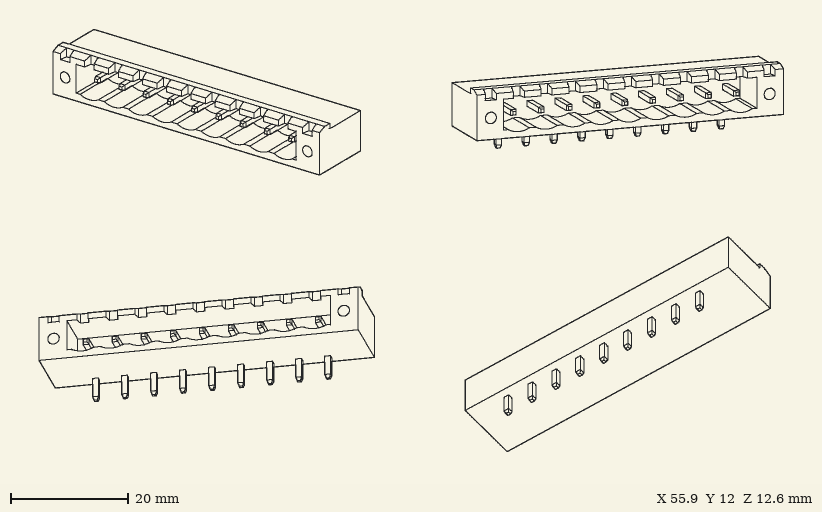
import cadquery as cq

PITCH = 5.08
CONTACT_COUNT = 9
STATION_COUNT = CONTACT_COUNT + 2

LENGTH = STATION_COUNT * PITCH
DEPTH = 12.0
ROOF_Z = 7.6
LIP_TOP_Z = 8.6
LIP_DEPTH = 3.0
LIP_SLOPE_DEPTH = 1.5
LIP_FRONT_Z = 8.0

FLANGE_WIDTH = 4.88
CAVITY_LENGTH = LENGTH - 2 * FLANGE_WIDTH
CAVITY_DEPTH = 8.0
CAVITY_TOP_Z = 6.9
RIDGE_Z = 1.5
TROUGH_Z = 1.0
RIDGE_WIDTH = 1.25
TROUGH_HALF_WIDTH = (PITCH - RIDGE_WIDTH) / 2

NOTCH_DEPTH = LIP_SLOPE_DEPTH
NOTCH_BACK_WIDTH = 1.5
NOTCH_FRONT_WIDTH = 2.0

BUSH_DIAMETER = 4.0
BUSH_HOLE_DIAMETER = 2.0
BUSH_DEPTH = CAVITY_DEPTH
AXIS_Z = 3.8

PIN_WIDTH = 1.0
PIN_TIP_WIDTH = 0.6
PIN_TAPER_LENGTH = 0.6
PIN_BELOW = 4.0
PIN_LEG_Y = 10.0
PIN_FRONT_Y = 2.0


def station_x(index):
    """X of a pitch position; the first and last are the fixing flanges."""
    return (index - (STATION_COUNT - 1) / 2) * PITCH


STATIONS = [station_x(i) for i in range(STATION_COUNT)]
CONTACTS = STATIONS[1:-1]
FLANGES = [STATIONS[0], STATIONS[-1]]


def make_housing():
    """Block with a raised, sloping lip along the top of its front edge."""
    profile = [
        (0, 0),
        (DEPTH, 0),
        (DEPTH, ROOF_Z),
        (LIP_DEPTH, ROOF_Z),
        (LIP_DEPTH, LIP_TOP_Z),
        (LIP_SLOPE_DEPTH, LIP_TOP_Z),
        (0, LIP_FRONT_Z),
    ]
    return cq.Workplane("YZ").polyline(profile).close().extrude(LENGTH / 2, both=True)


def make_cavity():
    """Plug cavity whose floor dips in a shallow arc below every contact."""
    half_length = CAVITY_LENGTH / 2
    outline = cq.Workplane("XZ").moveTo(-half_length, CAVITY_TOP_Z).lineTo(-half_length, RIDGE_Z)
    for x in CONTACTS:
        outline = outline.lineTo(x - TROUGH_HALF_WIDTH, RIDGE_Z)
        outline = outline.threePointArc((x, TROUGH_Z), (x + TROUGH_HALF_WIDTH, RIDGE_Z))
    outline = outline.lineTo(half_length, RIDGE_Z).lineTo(half_length, CAVITY_TOP_Z).close()
    return outline.extrude(-CAVITY_DEPTH)


def make_notch(x):
    """Flared notch cut down through the lip to the level of the cavity roof."""
    plan = [
        (x - NOTCH_FRONT_WIDTH / 2, 0),
        (x + NOTCH_FRONT_WIDTH / 2, 0),
        (x + NOTCH_BACK_WIDTH / 2, NOTCH_DEPTH),
        (x - NOTCH_BACK_WIDTH / 2, NOTCH_DEPTH),
    ]
    base = cq.Workplane("XY").workplane(offset=CAVITY_TOP_Z)
    return base.polyline(plan).close().extrude(LIP_TOP_Z - CAVITY_TOP_Z)


def make_front_cylinder(x, diameter):
    """Cylinder running back from the front face at the height of the bush axis."""
    return cq.Workplane("XZ").center(x, AXIS_Z).circle(diameter / 2).extrude(-BUSH_DEPTH)


def make_bush(x):
    """Tubular bush, flush with the front face."""
    return make_front_cylinder(x, BUSH_DIAMETER).cut(make_front_cylinder(x, BUSH_HOLE_DIAMETER))


def make_square_bar(plane, length):
    """Square bar along the plane normal, ending in a tapered tip."""
    shank_length = length - PIN_TAPER_LENGTH
    shank = cq.Workplane(plane).rect(PIN_WIDTH, PIN_WIDTH).extrude(shank_length)
    tip = (
        cq.Workplane(plane)
        .workplane(offset=shank_length)
        .rect(PIN_WIDTH, PIN_WIDTH)
        .workplane(offset=PIN_TAPER_LENGTH)
        .rect(PIN_TIP_WIDTH, PIN_TIP_WIDTH)
        .loft(ruled=True)
    )
    return shank.union(tip)


def make_pin(x):
    """L-shaped contact: one arm into the cavity, one leg below the housing."""
    half_width = PIN_WIDTH / 2
    corner_y = PIN_LEG_Y + half_width
    corner_z = AXIS_Z + half_width
    arm = make_square_bar("XZ", corner_y - PIN_FRONT_Y).translate((x, corner_y, AXIS_Z))
    leg_plane = cq.Plane(origin=(x, PIN_LEG_Y, corner_z), xDir=(1, 0, 0), normal=(0, 0, -1))
    leg = make_square_bar(leg_plane, corner_z + PIN_BELOW)
    return arm.union(leg)


result = make_housing().cut(make_cavity())
for notch_x in STATIONS:
    result = result.cut(make_notch(notch_x))
for contact_x in CONTACTS:
    result = result.union(make_pin(contact_x))
for flange_x in FLANGES:
    result = result.cut(make_front_cylinder(flange_x, BUSH_DIAMETER))
for flange_x in FLANGES:
    result = result.union(make_bush(flange_x), clean=False)